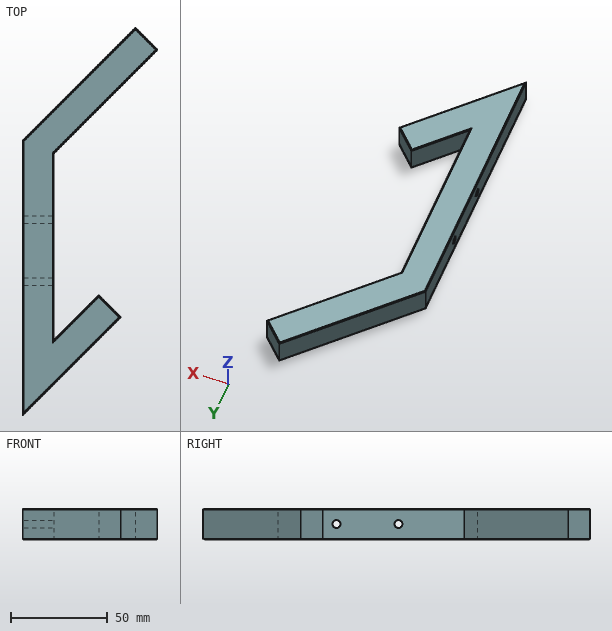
import cadquery as cq
import math

width_x = 69.5
length_y = 200.0
bar = 16.0
lower_reach = 50.5
edge_break = 0.5
hole_diameter = 4.0
lower_hole_y = 69.0
hole_spacing = 32.0

tip_step = bar * math.sin(math.pi / 4)
upper_rise = width_x - tip_step
bend_y = length_y - upper_rise
inner_bend_y = bend_y + bar - bar * math.sqrt(2)
crotch_y = bar + bar * math.sqrt(2)

outline = [
    (0, 0),
    (lower_reach, lower_reach),
    (lower_reach - tip_step, lower_reach + tip_step),
    (bar, crotch_y),
    (bar, inner_bend_y),
    (width_x, length_y - tip_step),
    (upper_rise, length_y),
    (0, bend_y),
]


def make_hook():
    hook = cq.Workplane("XY").polyline(outline).close().extrude(bar)
    return hook.faces("<Z or >Z").chamfer(edge_break)


def make_screw_holes():
    """Two holes through the stem, square to the wall face."""
    centres = [(lower_hole_y + i * hole_spacing, bar / 2) for i in range(2)]
    return cq.Workplane("YZ").pushPoints(centres).circle(hole_diameter / 2).extrude(bar)


result = make_hook().cut(make_screw_holes())